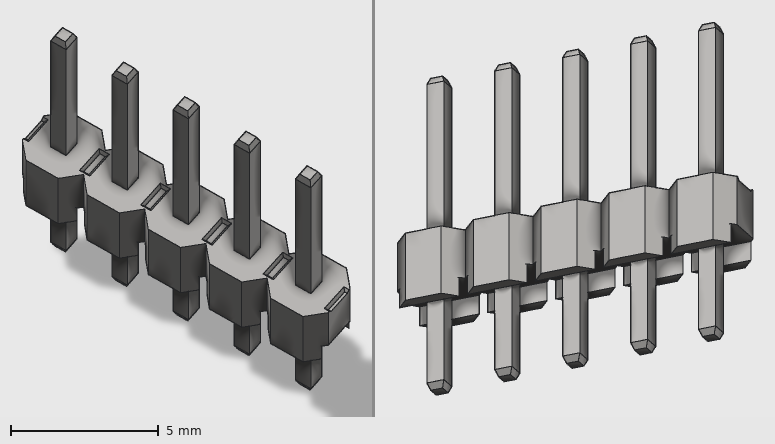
import cadquery as cq


PIN_COUNT = 5
PITCH = 2.54
ROW_LENGTH = PIN_COUNT * PITCH

BODY_WIDTH = 2.54
BODY_HEIGHT = 2.5
CORNER_CUT_X = 0.6
CORNER_CUT_Y = BODY_WIDTH / 4

CHANNEL_WIDTH = 1.6
CHANNEL_DEPTH = 0.7

POCKET_LENGTH_X = 0.42
POCKET_LENGTH_Y = 1.14
POCKET_DEPTH = 0.1
POCKET_TAPER = 45

PIN_SIZE = 0.64
PIN_ABOVE_BODY = 6.1
PIN_BELOW_BODY = 3.0
TIP_SIZE = 0.44
TIP_LENGTH = 0.25

PIN_CENTERS = [(i - (PIN_COUNT - 1) / 2) * PITCH for i in range(PIN_COUNT)]
CELL_BOUNDARIES = [i * PITCH - ROW_LENGTH / 2 for i in range(PIN_COUNT + 1)]


def make_cell(x):
    """Octagonal block around one pin."""
    half_x = PITCH / 2
    half_y = BODY_WIDTH / 2
    flat_x = half_x - CORNER_CUT_X
    flat_y = half_y - CORNER_CUT_Y
    outline = [
        (-half_x, -flat_y),
        (-flat_x, -half_y),
        (flat_x, -half_y),
        (half_x, -flat_y),
        (half_x, flat_y),
        (flat_x, half_y),
        (-flat_x, half_y),
        (-half_x, flat_y),
    ]
    return cq.Workplane("XY").center(x, 0).polyline(outline).close().extrude(BODY_HEIGHT)


def make_channel():
    """Open channel that runs the full row under the body."""
    return cq.Workplane("XY").box(
        ROW_LENGTH, CHANNEL_WIDTH, CHANNEL_DEPTH, centered=(True, True, False)
    )


def make_pocket(x):
    """Pocket volume that narrows downward from the top face."""
    return (
        cq.Workplane("XY", origin=(x, 0, BODY_HEIGHT))
        .rect(POCKET_LENGTH_X, POCKET_LENGTH_Y)
        .extrude(-POCKET_DEPTH, taper=POCKET_TAPER)
    )


def make_tip(x, base_z, end_z):
    """Pin end that tapers from the full section to the small end face."""
    return (
        cq.Workplane("XY", origin=(x, 0, base_z))
        .rect(PIN_SIZE, PIN_SIZE)
        .workplane(offset=end_z - base_z)
        .rect(TIP_SIZE, TIP_SIZE)
        .loft(ruled=True)
    )


def make_pin(x):
    """Square pin through the body with a tapered tip at each end."""
    bottom_z = -PIN_BELOW_BODY
    top_z = BODY_HEIGHT + PIN_ABOVE_BODY
    shank_bottom_z = bottom_z + TIP_LENGTH
    shank_top_z = top_z - TIP_LENGTH
    shank = (
        cq.Workplane("XY", origin=(x, 0, shank_bottom_z))
        .rect(PIN_SIZE, PIN_SIZE)
        .extrude(shank_top_z - shank_bottom_z)
    )
    lower_tip = make_tip(x, shank_bottom_z, bottom_z)
    upper_tip = make_tip(x, shank_top_z, top_z)
    return shank.union(lower_tip).union(upper_tip)


def make_body():
    """Row of joined cells with the channel and pockets removed."""
    body = make_cell(PIN_CENTERS[0])
    for x in PIN_CENTERS[1:]:
        body = body.union(make_cell(x))
    body = body.clean().cut(make_channel())
    for x in CELL_BOUNDARIES:
        body = body.cut(make_pocket(x))
    return body


result = make_body()
for pin_x in PIN_CENTERS:
    result = result.union(make_pin(pin_x))